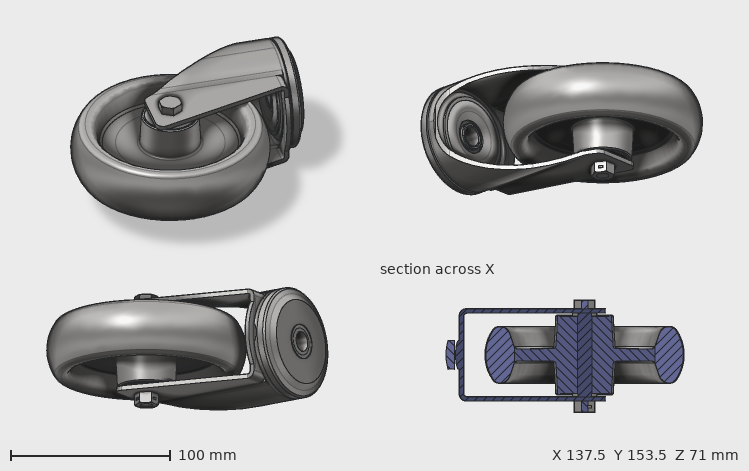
import cadquery as cq
import math


SWIVEL_X = -40.0

TYRE_RADIUS = 62.5
SIDEWALL_FOOT_DIRECTION = (0.5, 1)
TYRE_HALF_WIDTH = 17.8
TREAD_ARC_RADIUS = 27.6
SIDEWALL_RADIUS = 53.4
RIM_RADIUS = 44.4
RIM_HALF_WIDTH = 5.2
WEB_RADIUS = 42.7
WEB_HALF_WIDTH = 3.8
WEB_CONE_RADIUS = 34.4
WEB_CONE_RISE = 0.3
HUB_RADIUS = 18.1
HUB_BASE_RADIUS = 19.2
HUB_HALF_WIDTH = 25.0
HUB_CHAMFER = 0.8
HUB_BASE_FILLET = 1.4
HUB_RECESS_RADIUS = 16.3
HUB_RECESS_DEPTH = 0.8

SHEET = 2.9
CUP_RADIUS = 35.0
ARM_HALF_WIDTH = 29.0
ARM_BLEND_RADIUS = 7.5
CUP_TOP_Y = 81.3
CUP_FILLET = 2.6
CUP_INNER_FILLET = 2.1
SHOULDER_Y = 78.5
SHOULDER_BEND_RADIUS = 4.8
SHOULDER_END_X = -5.5
LIP_RADIUS = -SWIVEL_X
LIP_OVERLAP = 1.5
ARM_END_Y = -13.0
ARM_END_FRONT_X = -15.3
ARM_END_BACK_X = 18.9
ARM_CORNER_RADIUS = 4.9
CUP_EDGE_Y = 74.9

EDGE_ROUND_START = (-73.2, CUP_EDGE_Y)
EDGE_ROUND_MIDDLE = (-70.1, 73.2)
EDGE_ROUND_END = (-66.3, 69.4)
EDGE_SWEEP_MIDDLE = (-53.5, 51.5)
EDGE_SWEEP_END = (-36.8, 25.5)

HEAD_RIM_TOP_Y = 85.6
HEAD_SHOULDER_RADIUS = 33.9
HEAD_SHOULDER_Y = 86.9
HEAD_CONE_RADIUS = 30.7
HEAD_CONE_Y = 88.1
HEAD_TOP_RADIUS = 26.7
HEAD_TOP_Y = 90.4
SLEEVE_TOP_Y = 91.0
SLEEVE_FLANGE_RADIUS = 10.9
SLEEVE_RADIUS = 8.6
SLEEVE_BORE_RADIUS = 6.3
SLEEVE_END_Y = 74.3
SLEEVE_CHAMFER = 0.6
RACE_RADIUS = 29.6
RACE_MIDDLE_RADIUS = 28.5
RACE_MIDDLE_Y = 76.5
RACE_EDGE_Y = 75.5
BEARING_RADIUS = 25.6
BEARING_EDGE_Y = 74.1
BEAD_OUTER_RADIUS = 23.3
BEAD_MIDDLE_RADIUS = 19.6
BEAD_INNER_RADIUS = 16.0
BEAD_BOTTOM_Y = 72.6
BEAD_INNER_Y = 73.2
CONE_TOP_RADIUS = 10.7
CONE_TOP_Y = 75.5
BEARING_POCKET_Y = 76.7

HEX_ACROSS_FLATS = 13.0
HEX_CHAMFER = 0.6
BOLT_RADIUS = 4.0
BOLT_HEAD_TOP_Z = 34.4
NUT_END_Z = -36.0
NUT_MARK_LENGTH = 2.8
NUT_MARK_HEIGHT = 1.4
NUT_MARK_DEPTH = 0.3
NUT_MARK_ANGLES = (90, 210, 330)
AXLE_TUBE_RADIUS = 7.7


def swivel_cylinder(radius, bottom_y, top_y):
    """Cylinder on the swivel axis between two heights along Y."""
    return (
        cq.Workplane("XZ", origin=(SWIVEL_X, bottom_y, 0))
        .circle(radius)
        .extrude(bottom_y - top_y)
    )


def revolve_about_swivel(profile):
    """Turn a profile of radius and Y, drawn on a plane centred on the swivel axis."""
    return profile.close().revolve(360, (0, 0), (0, 1))


def swivel_plane():
    return cq.Workplane("XY", origin=(SWIVEL_X, 0, 0))


def z_cylinder(radius, bottom_z, top_z):
    return cq.Workplane("XY").workplane(offset=bottom_z).circle(radius).extrude(top_z - bottom_z)


def make_tyre():
    """Ring with a domed tread and sidewalls that sink towards the wheel core."""
    foot_x, foot_z = SIDEWALL_FOOT_DIRECTION
    tread_centre = TYRE_RADIUS - TREAD_ARC_RADIUS
    reach = SIDEWALL_RADIUS - tread_centre
    shoulder_radius = (TREAD_ARC_RADIUS**2 - reach**2 - TYRE_HALF_WIDTH**2) / (
        2 * (TREAD_ARC_RADIUS - TYRE_HALF_WIDTH)
    )
    spread = TREAD_ARC_RADIUS / (TREAD_ARC_RADIUS - shoulder_radius)
    tread_edge_radius = tread_centre + reach * spread
    tread_edge_z = (TYRE_HALF_WIDTH - shoulder_radius) * spread
    return (
        cq.Workplane("XZ")
        .moveTo(RIM_RADIUS, -RIM_HALF_WIDTH)
        .spline(
            [(SIDEWALL_RADIUS, -TYRE_HALF_WIDTH)],
            tangents=[(foot_x, -foot_z), (1, 0)],
            includeCurrent=True,
        )
        .radiusArc((tread_edge_radius, -tread_edge_z), -shoulder_radius)
        .threePointArc((TYRE_RADIUS, 0), (tread_edge_radius, tread_edge_z))
        .radiusArc((SIDEWALL_RADIUS, TYRE_HALF_WIDTH), -shoulder_radius)
        .spline(
            [(RIM_RADIUS, RIM_HALF_WIDTH)],
            tangents=[(-1, 0), (-foot_x, -foot_z)],
            includeCurrent=True,
        )
        .close()
        .revolve(360, (0, 0), (0, 1))
    )


def make_wheel_core():
    """Disc with a raised rim edge, slightly conical sides and a drafted hub, bored for the axle tube."""
    hub_base_z = WEB_HALF_WIDTH + WEB_CONE_RISE
    half = (
        cq.Workplane("XZ")
        .moveTo(AXLE_TUBE_RADIUS, 0)
        .lineTo(RIM_RADIUS, 0)
        .lineTo(RIM_RADIUS, RIM_HALF_WIDTH)
        .lineTo(WEB_RADIUS, WEB_HALF_WIDTH)
        .lineTo(WEB_CONE_RADIUS, WEB_HALF_WIDTH)
        .lineTo(HUB_BASE_RADIUS + HUB_BASE_FILLET, hub_base_z)
        .radiusArc((HUB_BASE_RADIUS, hub_base_z + HUB_BASE_FILLET), HUB_BASE_FILLET)
        .lineTo(HUB_RADIUS, HUB_HALF_WIDTH - HUB_CHAMFER)
        .lineTo(HUB_RADIUS - HUB_CHAMFER, HUB_HALF_WIDTH)
        .lineTo(HUB_RECESS_RADIUS, HUB_HALF_WIDTH)
        .lineTo(HUB_RECESS_RADIUS, HUB_HALF_WIDTH - HUB_RECESS_DEPTH)
        .lineTo(AXLE_TUBE_RADIUS, HUB_HALF_WIDTH - HUB_RECESS_DEPTH)
        .close()
        .revolve(360, (0, 0), (0, 1))
    )
    return half.union(half.mirror("XY"))


def arm_plan(inset):
    """U-shaped plan: a round back that runs through concave blends into two flat arms."""
    radius = CUP_RADIUS - inset
    half_width = ARM_HALF_WIDTH - inset
    blend = ARM_BLEND_RADIUS + inset
    blend_x = math.sqrt((radius + blend) ** 2 - (half_width + blend) ** 2)
    share = radius / (radius + blend)
    touch_x = blend_x * share
    touch_z = (half_width + blend) * share
    end_x = ARM_END_BACK_X - SWIVEL_X + inset
    plan = (
        cq.Workplane("XZ", origin=(SWIVEL_X, ARM_END_Y - inset, 0))
        .moveTo(end_x, -half_width)
        .lineTo(blend_x, -half_width)
        .radiusArc((touch_x, -touch_z), -blend)
        .threePointArc((-radius, 0), (touch_x, touch_z))
        .radiusArc((blend_x, half_width), -blend)
        .lineTo(end_x, half_width)
        .close()
    )
    return plan, SWIVEL_X + blend_x


def fork_form(inset, cup_fillet):
    """Solid bounded by the fork's outer skin, or by its inner skin one sheet further in."""
    top_y = SHOULDER_Y - inset
    plan, arm_start_x = arm_plan(inset)
    arms = plan.extrude(ARM_END_Y - inset - top_y)
    bend = SHOULDER_BEND_RADIUS - inset
    half_width = ARM_HALF_WIDTH - inset
    arm_length = ARM_END_BACK_X + inset - arm_start_x
    bend_blank = cq.Workplane("XY").box(arm_length, 2 * bend, 2 * half_width, centered=(False, False, True))
    bend_blank = bend_blank.translate((arm_start_x, top_y - 2 * bend, 0))
    corners = bend_blank.cut(bend_blank.edges("|X and >Y").fillet(bend))
    cup = swivel_cylinder(CUP_RADIUS - inset, top_y, CUP_TOP_Y - inset)
    cup = cup.faces(">Y").edges().fillet(cup_fillet)
    return arms.cut(corners).union(cup)


def fork_side_blank():
    """Side outline of the fork, extruded across its full width."""
    blank = (
        cq.Workplane("XY")
        .moveTo(SWIVEL_X - CUP_RADIUS, CUP_TOP_Y)
        .lineTo(SWIVEL_X - CUP_RADIUS, CUP_EDGE_Y)
        .lineTo(*EDGE_ROUND_START)
        .threePointArc(EDGE_ROUND_MIDDLE, EDGE_ROUND_END)
        .threePointArc(EDGE_SWEEP_MIDDLE, EDGE_SWEEP_END)
        .lineTo(ARM_END_FRONT_X, ARM_END_Y)
        .lineTo(ARM_END_BACK_X, ARM_END_Y)
        .lineTo(SHOULDER_END_X, SHOULDER_Y - SHOULDER_BEND_RADIUS)
        .lineTo(SHOULDER_END_X, CUP_TOP_Y)
        .close()
        .extrude(CUP_RADIUS, both=True)
    )
    return blank.edges("|Z and <Y").fillet(ARM_CORNER_RADIUS)


def make_fork():
    """Bent sheet: a round cup, two arms, and a round-ended lip behind the cup."""
    outer = fork_form(0, CUP_FILLET)
    inner = fork_form(SHEET, CUP_INNER_FILLET)
    fork = outer.cut(inner).intersect(fork_side_blank())
    lip_half_width = ARM_HALF_WIDTH - SHOULDER_BEND_RADIUS
    lip_disc = swivel_cylinder(LIP_RADIUS, SHOULDER_Y - SHEET, SHOULDER_Y)
    lip_length = LIP_OVERLAP - SHOULDER_END_X
    lip_blank = cq.Workplane("XY").box(
        lip_length, SHOULDER_Y, 2 * lip_half_width, centered=(False, False, True)
    )
    lip = lip_disc.intersect(lip_blank.translate((SHOULDER_END_X - LIP_OVERLAP, 0, 0)))
    return (
        fork.union(lip)
        .cut(swivel_cylinder(SLEEVE_RADIUS, CUP_EDGE_Y, CUP_TOP_Y))
        .cut(z_cylinder(BOLT_RADIUS, -CUP_RADIUS, CUP_RADIUS))
    )


def make_swivel_head():
    """Round cap above the fork: straight rim, narrow chamfer and a top of two cones."""
    return revolve_about_swivel(
        swivel_plane()
        .moveTo(SLEEVE_RADIUS, CUP_TOP_Y)
        .lineTo(CUP_RADIUS, CUP_TOP_Y)
        .lineTo(CUP_RADIUS, HEAD_RIM_TOP_Y)
        .lineTo(HEAD_SHOULDER_RADIUS, HEAD_SHOULDER_Y)
        .lineTo(HEAD_CONE_RADIUS, HEAD_CONE_Y)
        .lineTo(HEAD_TOP_RADIUS, HEAD_TOP_Y)
        .lineTo(SLEEVE_RADIUS, HEAD_TOP_Y)
    )


def make_bearing():
    """Swivel bearing under the cup: a rounded race around a raised bead with a conical pocket."""
    return revolve_about_swivel(
        swivel_plane()
        .moveTo(SLEEVE_RADIUS, CUP_TOP_Y - SHEET)
        .lineTo(RACE_RADIUS, CUP_TOP_Y - SHEET)
        .threePointArc((RACE_MIDDLE_RADIUS, RACE_MIDDLE_Y), (BEARING_RADIUS, RACE_EDGE_Y))
        .lineTo(BEARING_RADIUS, BEARING_EDGE_Y)
        .lineTo(BEAD_OUTER_RADIUS, BEARING_EDGE_Y)
        .threePointArc((BEAD_MIDDLE_RADIUS, BEAD_BOTTOM_Y), (BEAD_INNER_RADIUS, BEAD_INNER_Y))
        .lineTo(CONE_TOP_RADIUS, CONE_TOP_Y)
        .lineTo(CONE_TOP_RADIUS, BEARING_POCKET_Y)
        .lineTo(SLEEVE_RADIUS, BEARING_POCKET_Y)
    )


def make_sleeve():
    """Flanged tube through the swivel head, the fork and the bearing, chamfered at its free end."""
    sleeve = (
        swivel_cylinder(SLEEVE_RADIUS, SLEEVE_END_Y, SLEEVE_TOP_Y)
        .union(swivel_cylinder(SLEEVE_FLANGE_RADIUS, HEAD_TOP_Y, SLEEVE_TOP_Y))
        .cut(swivel_cylinder(SLEEVE_BORE_RADIUS, SLEEVE_END_Y, SLEEVE_TOP_Y))
    )
    return sleeve.faces("<Y").edges().chamfer(SLEEVE_CHAMFER)


def hexagon(bottom_z, top_z, chamfered_end):
    """Hexagonal prism with corners on X and its corners turned off at one end."""
    corner_radius = HEX_ACROSS_FLATS / math.sqrt(3)
    prism = (
        cq.Workplane("XY")
        .workplane(offset=bottom_z)
        .polygon(6, 2 * corner_radius)
        .extrude(top_z - bottom_z)
    )
    turned = z_cylinder(corner_radius, bottom_z, top_z).faces(chamfered_end).chamfer(HEX_CHAMFER)
    return prism.intersect(turned)


def make_bolt():
    head = hexagon(ARM_HALF_WIDTH, BOLT_HEAD_TOP_Z, ">Z")
    return head.union(z_cylinder(BOLT_RADIUS, NUT_END_Z, ARM_HALF_WIDTH))


def make_nut():
    """Nut with a small sunk mark on every second flat."""
    nut = hexagon(NUT_END_Z, -ARM_HALF_WIDTH, "<Z")
    mark = cq.Workplane("XY").box(2 * NUT_MARK_DEPTH, NUT_MARK_LENGTH, NUT_MARK_HEIGHT)
    mark = mark.translate((HEX_ACROSS_FLATS / 2, 0, -(ARM_HALF_WIDTH - NUT_END_Z) / 2))
    for angle in NUT_MARK_ANGLES:
        nut = nut.cut(mark.rotate((0, 0, 0), (0, 0, 1), angle))
    return nut.cut(z_cylinder(BOLT_RADIUS, NUT_END_Z, -ARM_HALF_WIDTH))


def make_axle_tube():
    """Spacer tube through the hub, clamped between the fork arms."""
    half_length = ARM_HALF_WIDTH - SHEET
    tube = z_cylinder(AXLE_TUBE_RADIUS, -half_length, half_length)
    return tube.cut(z_cylinder(BOLT_RADIUS, -half_length, half_length))


tyre = make_tyre()
wheel_core = make_wheel_core()
fork = make_fork()
swivel_head = make_swivel_head()
bearing = make_bearing()
sleeve = make_sleeve()
bolt = make_bolt()
nut = make_nut()
axle_tube = make_axle_tube()

bodies = [tyre, wheel_core, fork, swivel_head, bearing, sleeve, bolt, nut, axle_tube]
result = cq.Compound.makeCompound([solid for body in bodies for solid in body.solids().vals()])